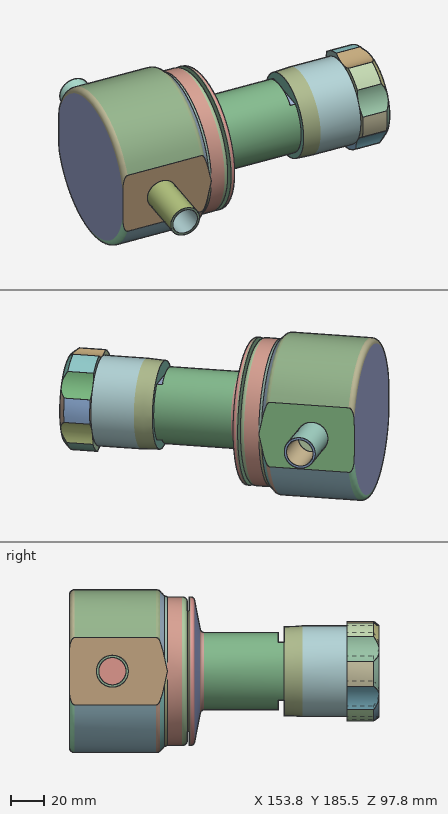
import cadquery as cq
import math


body_diameter = 97.8
body_radius = body_diameter / 2
body_end = 52.0
body_fillet = 3.3
shoulder_angle = math.radians(45)
shoulder_root_fillet = 2.6
flat_distance = 44.5

collar_radius = flat_distance
collar_top = 70.7
collar_fillet = 3.0
gap_width = 1.1
gap_radius = 36.2
bonnet_start = collar_top + gap_width
bonnet_rim_end = 72.7
bonnet_fillet = 2.5
bonnet_cone_angle = math.radians(11.2)

stem_radius = 23.2
stem_start = 81.0
stem_flat_height = 17.5
stem_flat_width = 3.3

handle_start = 128.6
skirt_radius = 26.7
barrel_start = 139.7
barrel_radius = 27.3
knob_start = 166.3
knob_radius = 30.6
knob_end = 185.5
knob_chamfer = 3.3
scallop_count = 6
scallop_radius = 17.0
scallop_offset_angle = 3.0

port_axis_y = 25.8
port_diameter = 19.1
port_bore_radius = 8.2
port_span = 153.8
port_tip = port_span / 2
port_bore_bottom = 46.8


def cylinder(radius, start, end):
    """Solid cylinder about the valve axis between two Y positions."""
    return cq.Workplane("XZ", origin=(0, start, 0)).circle(radius).extrude(start - end)


def make_body():
    """Round body with a coned shoulder, cut by two side flats."""
    inset = 1 - math.cos(shoulder_angle)
    cone_outer_radius = body_radius - body_fillet * inset
    cone_inner_radius = collar_radius + shoulder_root_fillet * inset
    cone_start = body_end + body_fillet * math.sin(shoulder_angle)
    cone_end = cone_start + (cone_outer_radius - cone_inner_radius) / math.tan(shoulder_angle)
    shoulder_end = cone_end + shoulder_root_fillet * math.sin(shoulder_angle)
    profile = (
        cq.Workplane("XY")
        .lineTo(body_radius - body_fillet, 0)
        .radiusArc((body_radius, body_fillet), -body_fillet)
        .lineTo(body_radius, body_end)
        .radiusArc((cone_outer_radius, cone_start), -body_fillet)
        .lineTo(cone_inner_radius, cone_end)
        .radiusArc((collar_radius, shoulder_end), shoulder_root_fillet)
        .lineTo(0, shoulder_end)
        .close()
    )
    body = profile.revolve(360, (0, 0, 0), (0, 1, 0))
    flats = cq.Workplane("XY").box(2 * flat_distance, 4 * body_radius, 4 * body_radius)
    return body.intersect(flats)


def make_bonnet():
    """Collar, groove, coned bonnet and stem as one revolved profile."""
    fillet_width = bonnet_fillet * (1 - math.sin(bonnet_cone_angle))
    fillet_length = bonnet_fillet * math.cos(bonnet_cone_angle)
    profile = (
        cq.Workplane("XY")
        .moveTo(0, body_end)
        .lineTo(collar_radius, body_end)
        .lineTo(collar_radius, collar_top - collar_fillet)
        .radiusArc((collar_radius - collar_fillet, collar_top), -collar_fillet)
        .lineTo(gap_radius, collar_top)
        .lineTo(gap_radius, bonnet_start)
        .lineTo(collar_radius, bonnet_start)
        .lineTo(collar_radius, bonnet_rim_end)
        .radiusArc((collar_radius - fillet_width, bonnet_rim_end + fillet_length), -bonnet_fillet)
        .lineTo(stem_radius + fillet_width, stem_start - fillet_length)
        .radiusArc((stem_radius, stem_start), bonnet_fillet)
        .lineTo(stem_radius, handle_start)
        .lineTo(0, handle_start)
        .close()
    )
    return profile.revolve(360, (0, 0, 0), (0, 1, 0))


def cut_stem_flats(part):
    """Cut the short flats above and below the stem, next to the handle."""
    flat_depth = stem_radius - stem_flat_height
    for side in (-1, 1):
        cutter = cq.Workplane("XY").box(2 * stem_radius, stem_flat_width, flat_depth).translate(
            (0, handle_start - stem_flat_width / 2, side * (stem_flat_height + flat_depth / 2))
        )
        part = part.cut(cutter)
    return part


def make_handle():
    """Tapered skirt and plain barrel."""
    profile = (
        cq.Workplane("XY")
        .moveTo(0, handle_start)
        .lineTo(skirt_radius, handle_start)
        .lineTo(barrel_radius, barrel_start)
        .lineTo(barrel_radius, knob_start)
        .lineTo(0, knob_start)
        .close()
    )
    return profile.revolve(360, (0, 0, 0), (0, 1, 0))


def make_knob():
    """Chamfered knob whose grip scallops reach in to the barrel radius."""
    knob = cylinder(knob_radius, knob_start, knob_end).faces(">Y").chamfer(knob_chamfer)
    scallop_center_radius = barrel_radius + scallop_radius
    for index in range(scallop_count):
        angle = math.radians(scallop_offset_angle + index * 360 / scallop_count)
        center_x = scallop_center_radius * math.sin(angle)
        center_z = scallop_center_radius * math.cos(angle)
        scallop = cylinder(scallop_radius, knob_start, knob_end).translate((center_x, 0, center_z))
        knob = knob.cut(scallop)
    return knob


def add_ports(part):
    """Add one port tube on each side, bored blind from its open end."""
    port_plane = cq.Workplane("YZ", origin=(-port_tip, port_axis_y, 0))
    part = part.union(port_plane.circle(port_diameter / 2).extrude(2 * port_tip))
    bore_depth = port_tip - port_bore_bottom
    for side in (-1, 1):
        bore_plane = cq.Workplane("YZ", origin=(side * port_tip, port_axis_y, 0))
        part = part.cut(bore_plane.circle(port_bore_radius).extrude(-side * bore_depth))
    return part


valve = make_body().union(cut_stem_flats(make_bonnet()))
valve = valve.union(make_handle()).union(make_knob())
result = add_ports(valve)